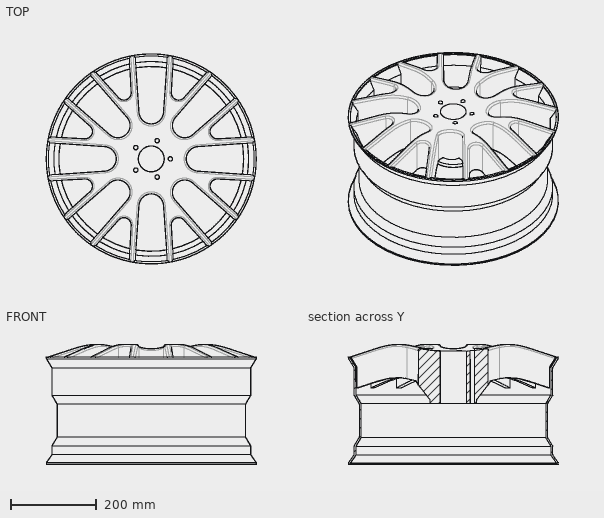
import cadquery as cq
import math

total_height = 279.5
rim_height = 250.0
wall = 5.0

flange_radius = 245.0
seat_radius = 232.0
drop_radius = 220.0
flange_land = 4.0
lower_flare_top = 22.5
lower_seat_top = 43.0
lower_cone_top = 63.0
upper_cone_bottom = 140.0
upper_cone_top = 160.5
upper_seat_top = 225.0

dome_points = [(0, 260.5), (78.5, 270.0), (138.5, total_height), (206, 262.5), (264.5, 243.5)]
hub_slope = 0.13
spoke_slope = -0.325
disc_depth = 77.5

boss_radius = 55.0
boss_bottom = 141.5
boss_shoulder = 150.5
boss_cone_top = (92.0, 198.5)

bore_diameter = 60.0
bolt_diameter = 10.0
bolt_count = 5
bolt_circle_radius = 44.5

edge_round = 4.5
window_count = 8
window_pitch = 360 / window_count
main_end_radius = 28.5
main_end_distance = 110.2
main_flare = math.radians(4)
small_end_radius = 16.5
small_end_distance = 166.5
small_flare = math.radians(19.5)
window_reach = 294.0
cutter_height = 304.0


def revolve_profile(sketch):
    """Revolve an (r, z) profile about the Z axis."""
    return sketch.close().revolve(360, (0, 0, 0), (0, 1, 0))


def rim_outline(inset):
    """(r, z) points up the rim barrel, moved inwards by the inset.

    The cone corners also move away from mid-height, so cones and cylinders stay equally thick.
    """
    cone_angle = math.atan2(seat_radius - drop_radius, upper_cone_top - upper_cone_bottom)
    shift = inset * math.tan(cone_angle / 2)
    inner_flange = flange_radius - inset
    inner_seat = seat_radius - inset
    inner_drop = drop_radius - inset
    return [
        (inner_flange, 0),
        (inner_flange, flange_land - shift),
        (inner_seat, lower_flare_top - shift),
        (inner_seat, lower_seat_top - shift),
        (inner_drop, lower_cone_top - shift),
        (inner_drop, upper_cone_bottom + shift),
        (inner_seat, upper_cone_top + shift),
        (inner_seat, upper_seat_top + shift),
        (inner_flange, rim_height - flange_land + shift),
        (inner_flange, rim_height),
    ]


def make_rim():
    outline = rim_outline(0) + rim_outline(wall)[::-1]
    return revolve_profile(cq.Workplane("XZ").polyline(outline))


def make_envelope():
    """Space for the spokes: inside the middle of the rim wall, and over the rim's top face above it."""
    above_rim = [(flange_radius, rim_height), (flange_radius, cutter_height), (0, cutter_height)]
    outline = [(0, 0)] + rim_outline(wall / 2) + above_rim
    return revolve_profile(cq.Workplane("XZ").polyline(outline))


def make_disc():
    """Dome with a parallel underside, thickened by a boss at the hub."""
    underside_points = [(radius, height - disc_depth) for radius, height in reversed(dome_points)]
    dome_tangents = [(1, hub_slope), (1, spoke_slope)]
    underside_tangents = [(-1, -spoke_slope), (-1, -hub_slope)]
    dome_section = (
        cq.Workplane("XZ")
        .spline(dome_points, tangents=dome_tangents)
        .lineTo(*underside_points[0])
        .spline(underside_points[1:], tangents=underside_tangents, includeCurrent=True)
    )
    boss_section = (
        cq.Workplane("XZ")
        .moveTo(0, boss_bottom)
        .lineTo(boss_radius, boss_bottom)
        .lineTo(boss_radius, boss_shoulder)
        .lineTo(*boss_cone_top)
        .lineTo(0, boss_cone_top[1])
    )
    return revolve_profile(dome_section).union(revolve_profile(boss_section))


def make_window(end_radius, end_distance, flare, angle):
    """Cutter with a round inner end tangent to two sides that flare outwards."""
    tangent_x = end_distance - end_radius * math.sin(flare)
    tangent_y = end_radius * math.cos(flare)
    reach_y = tangent_y + (window_reach - tangent_x) * math.tan(flare)
    return (
        cq.Workplane("XY")
        .moveTo(window_reach, -reach_y)
        .lineTo(tangent_x, -tangent_y)
        .threePointArc((end_distance - end_radius, 0), (tangent_x, tangent_y))
        .lineTo(window_reach, reach_y)
        .close()
        .extrude(cutter_height)
        .rotate((0, 0, 0), (0, 0, 1), angle)
    )


def cut_windows(disc):
    windows = []
    for index in range(window_count):
        angle = index * window_pitch
        windows.append(make_window(main_end_radius, main_end_distance, main_flare, angle).val())
        small_angle = angle + window_pitch / 2
        windows.append(make_window(small_end_radius, small_end_distance, small_flare, small_angle).val())
    return disc.cut(cq.Workplane(cq.Compound.makeCompound(windows)))


def drill_hub(disc):
    bore = cq.Workplane("XY").circle(bore_diameter / 2).extrude(cutter_height)
    bolts = (
        cq.Workplane("XY")
        .polarArray(bolt_circle_radius, 0, 360, bolt_count)
        .circle(bolt_diameter / 2)
        .extrude(cutter_height)
    )
    return disc.cut(bore).cut(bolts)


def is_window_rim(edge):
    """True for the curved window edges on the dome, outside the hub and inside the disc's border."""
    middle = edge.positionAt(0.5)
    distance = math.hypot(middle.x, middle.y)
    on_dome = middle.z > upper_seat_top
    off_hub = distance > main_end_distance - main_end_radius - edge_round
    off_border = distance < dome_points[-1][0] - edge_round
    return edge.geomType() != "LINE" and on_dome and off_hub and off_border


def round_window_edges(disc):
    rims = [edge for edge in disc.edges().vals() if is_window_rim(edge)]
    return disc.newObject(rims).fillet(edge_round)


disc = round_window_edges(cut_windows(drill_hub(make_disc())))
disc = disc.intersect(make_envelope())
result = make_rim().union(disc)